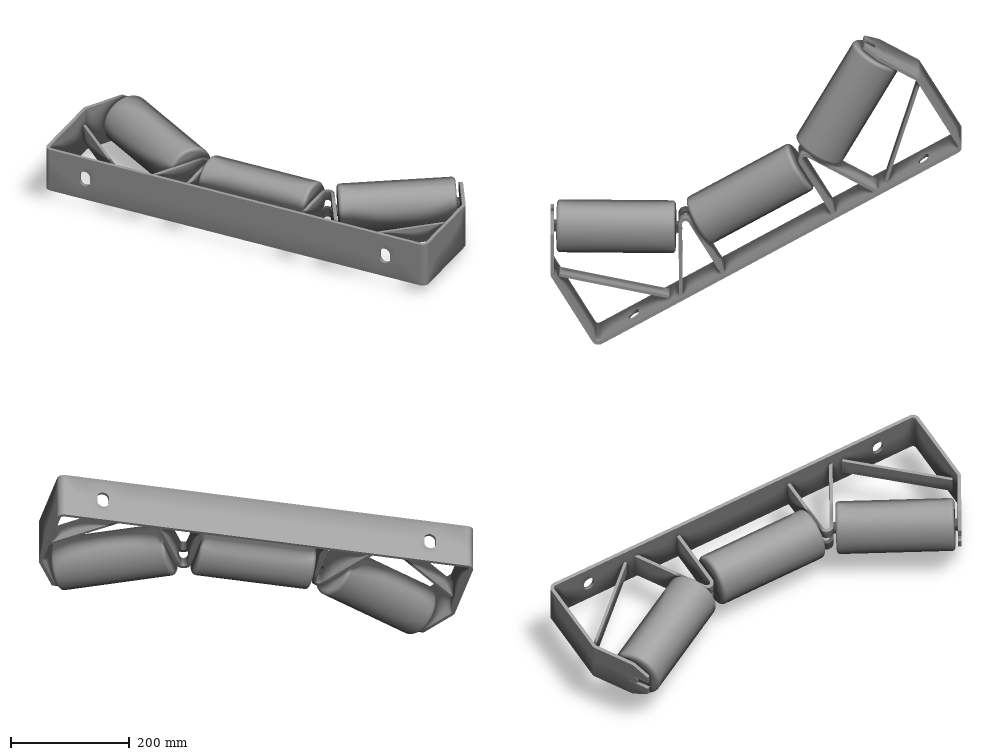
import cadquery as cq
import math

SHEET = 6.0
BEND_INNER_RADIUS = 6.0
BEND_OUTER_RADIUS = BEND_INNER_RADIUS + SHEET

FRAME_LENGTH = 720.0
FRAME_HEIGHT = 80.0
ARM_TIP_REACH = 30.0
ARM_BEVEL_HEIGHT = 17.0
ARM_BEVEL_LENGTH = 29.5
MOUNT_HOLE_WIDTH = 20.0
MOUNT_HOLE_HEIGHT = 28.0
MOUNT_HOLE_SPACING = 566.0

ROLLER_DIAMETER = 89.0
ROLLER_LENGTH = 200.0
ROLLER_EDGE_RADIUS = 6.0
SHAFT_DIAMETER = 20.0
SHAFT_FLATS = 14.0
TROUGH_ANGLE = 30.0
TILT_ANGLE = 2.0
SEAT_SPAN = 210.0

SLOT_WIDTH = 15.0
SLOT_END_RADIUS = 10.45

BRACKET_TOP_Y = 127.5
BRACKET_HEIGHT = 50.0
AXIS_BELOW_BEND = 15.0

STAY_THICKNESS = 5.0
STAY_HEIGHT = 30.0
STAY_FRONT_X = 210.0
STAY_SIDE_Y = 138.0

COS_TROUGH = math.cos(math.radians(TROUGH_ANGLE))
SIN_TROUGH = math.sin(math.radians(TROUGH_ANGLE))


def along_axis_and_wall(axis_distance, wall_distance):
    """XY point at these distances along the right roller's axis and wall directions."""
    return (
        axis_distance * COS_TROUGH - wall_distance * SIN_TROUGH,
        axis_distance * SIN_TROUGH + wall_distance * COS_TROUGH,
    )


BEND_X = SEAT_SPAN / 2 + BEND_OUTER_RADIUS
BEND_Y = BRACKET_TOP_Y - BEND_OUTER_RADIUS
BEND_ON_AXIS = BEND_X * COS_TROUGH + BEND_Y * SIN_TROUGH
BEND_ON_WALL = BEND_Y * COS_TROUGH - BEND_X * SIN_TROUGH

INNER_SEAT = BEND_ON_AXIS + BEND_OUTER_RADIUS
OUTER_SEAT = INNER_SEAT + SEAT_SPAN
SIDE_AXIS_ON_WALL = BEND_ON_WALL - AXIS_BELOW_BEND
ARM_TIP_ON_WALL = SIDE_AXIS_ON_WALL + ARM_TIP_REACH
TILT_DROP = SEAT_SPAN * math.sin(math.radians(TILT_ANGLE))


def roller_location(side):
    """Centre and turns of the left (-1), middle (0) or right (1) roller."""
    x, y = along_axis_and_wall(INNER_SEAT + SEAT_SPAN / 2, SIDE_AXIS_ON_WALL)
    if side == 0:
        y = BEND_Y - AXIS_BELOW_BEND
    z = -TILT_DROP * (1 - abs(side) / 2)
    turn = cq.Location(cq.Vector(side * x, y, z), cq.Vector(0, 0, 1), side * TROUGH_ANGLE)
    tilt = cq.Location(cq.Vector(), cq.Vector(0, 1, 0), -side * TILT_ANGLE)
    return turn * tilt


def folded_strip(outer_points, height, mid_z):
    """Strip of sheet along a chain of outer-face points, with the material on its left."""
    points = [cq.Vector(x, y, 0) for x, y in outer_points]
    runs = [(end - start).normalized() for start, end in zip(points, points[1:])]
    normals = [cq.Vector(-run.y, run.x, 0) for run in runs]
    first_inner = points[0] + normals[0] * SHEET
    last_inner = points[-1] + normals[-1] * SHEET
    inner_corners = []
    for corner, before, after in zip(points[1:-1], normals, normals[1:]):
        inner_corners.append(corner + (before + after) * (SHEET / (1 + before.dot(after))))
    inner_points = [first_inner, *inner_corners, last_inner]
    outline = [(p.x, p.y) for p in points + inner_points[::-1]]
    strip = (
        cq.Workplane("XY", origin=(0, 0, mid_z - height / 2))
        .polyline(outline)
        .close()
        .extrude(height)
    )
    for corner, inner in zip(points[1:-1], inner_corners):
        strip = strip.edges("|Z").edges(near(corner, mid_z)).fillet(BEND_OUTER_RADIUS)
        strip = strip.edges("|Z").edges(near(inner, mid_z)).fillet(BEND_INNER_RADIUS)
    return strip


def near(point, z):
    """Selector of the edge whose middle is nearest to an XY point at height z."""
    return cq.NearestToPointSelector((point.x, point.y, z))


def shaft_slot(side, end):
    """Cutter for the open slot at the left (-1) or right (1) end of a roller's shaft."""
    half_width = SLOT_WIDTH / 2
    arc_start = -math.sqrt(SLOT_END_RADIUS**2 - half_width**2)
    open_end = ROLLER_DIAMETER / 2
    roller_face = ROLLER_LENGTH / 2
    slot_depth = SEAT_SPAN / 2 + BEND_OUTER_RADIUS - roller_face
    cutter = (
        cq.Workplane("YZ", origin=(end * roller_face, 0, 0))
        .moveTo(open_end, -half_width)
        .lineTo(arc_start, -half_width)
        .threePointArc((-SLOT_END_RADIUS, 0), (arc_start, half_width))
        .lineTo(open_end, half_width)
        .close()
        .extrude(end * slot_depth)
    )
    return cutter.val().moved(roller_location(side))


def arm_tip_trim(side):
    """Cutter that bevels the upper and lower corners of the left (-1) or right (1) arm tip."""
    bevel_start = ARM_TIP_ON_WALL - ARM_BEVEL_LENGTH
    half_height = FRAME_HEIGHT / 2
    upper = (
        cq.Workplane("YZ")
        .moveTo(bevel_start, half_height)
        .lineTo(ARM_TIP_ON_WALL, half_height - ARM_BEVEL_HEIGHT)
        .lineTo(ARM_TIP_ON_WALL, half_height)
        .close()
        .extrude(2 * SHEET, both=True)
    )
    both = upper.union(upper.mirror("XY"))
    x, y = along_axis_and_wall(OUTER_SEAT, 0)
    place = cq.Location(cq.Vector(side * x, y, 0), cq.Vector(0, 0, 1), side * TROUGH_ANGLE)
    return both.val().moved(place)


def make_frame():
    half_length = FRAME_LENGTH / 2
    arm_outer = OUTER_SEAT + SHEET
    bend_y = (arm_outer - half_length * COS_TROUGH) / SIN_TROUGH
    tip_x, tip_y = along_axis_and_wall(arm_outer, ARM_TIP_ON_WALL)
    right_half = [(half_length, 0), (half_length, bend_y), (tip_x, tip_y)]
    left_half = [(-x, y) for x, y in reversed(right_half)]
    frame = folded_strip(left_half + right_half, FRAME_HEIGHT, 0)
    for side in (-1, 1):
        frame = frame.cut(cq.Workplane(arm_tip_trim(side)))
        frame = frame.cut(cq.Workplane(shaft_slot(side, side)))
    mounting_holes = (
        cq.Workplane("XZ")
        .pushPoints([(-MOUNT_HOLE_SPACING / 2, 0), (MOUNT_HOLE_SPACING / 2, 0)])
        .slot2D(MOUNT_HOLE_HEIGHT, MOUNT_HOLE_WIDTH, 90)
        .extrude(-SHEET)
    )
    return frame.cut(mounting_holes)


def make_bracket(side):
    """Bracket between the middle roller and the left (-1) or right (1) roller."""
    upright_x = SEAT_SPAN / 2
    apex_y = (INNER_SEAT - upright_x * COS_TROUGH) / SIN_TROUGH
    sloping_foot_x = INNER_SEAT / COS_TROUGH
    outer_points = [(sloping_foot_x, 0), (upright_x, apex_y), (upright_x, 0)]
    bracket = folded_strip(outer_points, BRACKET_HEIGHT, -TILT_DROP)
    bracket = bracket.cut(cq.Workplane("XY").box(FRAME_LENGTH, 2 * SHEET, 2 * FRAME_HEIGHT))
    if side < 0:
        bracket = bracket.mirror("YZ")
    bracket = bracket.cut(cq.Workplane(shaft_slot(0, side)))
    return bracket.cut(cq.Workplane(shaft_slot(side, -side)))


def make_stay(side):
    """Flat bar from the left (-1) or right (1) side of the frame to its front plate."""
    side_x = FRAME_LENGTH / 2 - SHEET
    run_x = side_x - STAY_FRONT_X
    run_y = STAY_SIDE_Y - SHEET
    angle = math.degrees(math.atan2(run_y, run_x))
    end_gap = STAY_THICKNESS / 2 * max(run_x / run_y, run_y / run_x)
    length = math.hypot(run_x, run_y) - 2 * end_gap
    bar = cq.Workplane("XY").box(length, STAY_THICKNESS, STAY_HEIGHT)
    bar = bar.rotate((0, 0, 0), (0, 0, 1), side * angle)
    return bar.translate((side * (side_x + STAY_FRONT_X) / 2, (STAY_SIDE_Y + SHEET) / 2, 0))


def make_roller(side):
    """Roller with its flattened shaft, at the left (-1), middle (0) or right (1)."""
    shell = (
        cq.Workplane("YZ", origin=(-ROLLER_LENGTH / 2, 0, 0))
        .circle(ROLLER_DIAMETER / 2)
        .extrude(ROLLER_LENGTH)
        .edges("%CIRCLE")
        .fillet(ROLLER_EDGE_RADIUS)
    )
    shaft_length = SEAT_SPAN + 2 * SHEET
    flats = cq.Workplane("XY").box(shaft_length, SHAFT_DIAMETER, SHAFT_FLATS)
    shaft = (
        cq.Workplane("YZ", origin=(-shaft_length / 2, 0, 0))
        .circle(SHAFT_DIAMETER / 2)
        .extrude(shaft_length)
        .intersect(flats)
    )
    return cq.Workplane(shell.union(shaft).val().moved(roller_location(side)))


frame = make_frame()
brackets = [make_bracket(side) for side in (-1, 1)]
stays = [make_stay(side) for side in (-1, 1)]
rollers = [make_roller(side) for side in (-1, 0, 1)]

bodies = [frame, *brackets, *stays, *rollers]
result = cq.Compound.makeCompound([body.val() for body in bodies])